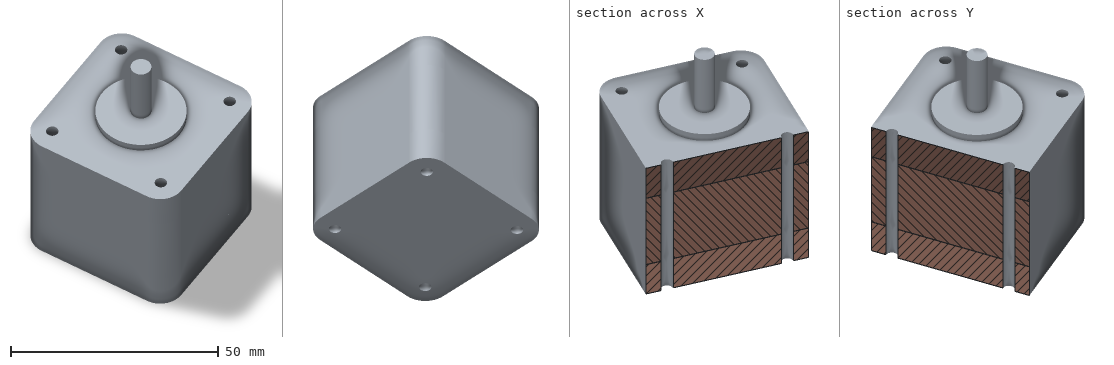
import cadquery as cq

frame_width = 42.0
corner_radius = 6.0
cap_height = 9.0
stator_height = 20.0

hole_spacing = 31.0
hole_diameter = 3.0

boss_diameter = 22.0
boss_height = 2.0
shaft_diameter = 5.0
shaft_length = 16.0

stator_bottom = cap_height
front_cap_bottom = stator_bottom + stator_height


def frame_section(bottom, height):
    """Rounded square block with the four mounting holes through it."""
    block = (
        cq.Workplane("XY")
        .workplane(offset=bottom)
        .rect(frame_width, frame_width)
        .extrude(height)
        .edges("|Z")
        .fillet(corner_radius)
    )
    return (
        block.faces(">Z")
        .workplane()
        .rect(hole_spacing, hole_spacing, forConstruction=True)
        .vertices()
        .hole(hole_diameter)
    )


def make_rear_cap():
    return frame_section(0, cap_height)


def make_stator():
    return frame_section(stator_bottom, stator_height)


def make_front_cap():
    """Front section carrying the centring boss and the shaft."""
    cap = frame_section(front_cap_bottom, cap_height)
    with_boss = cap.faces(">Z").workplane().circle(boss_diameter / 2).extrude(boss_height)
    return with_boss.faces(">Z").workplane().circle(shaft_diameter / 2).extrude(shaft_length)


rear_cap = make_rear_cap()
stator = make_stator()
front_cap = make_front_cap()

result = cq.Compound.makeCompound([rear_cap.val(), stator.val(), front_cap.val()])